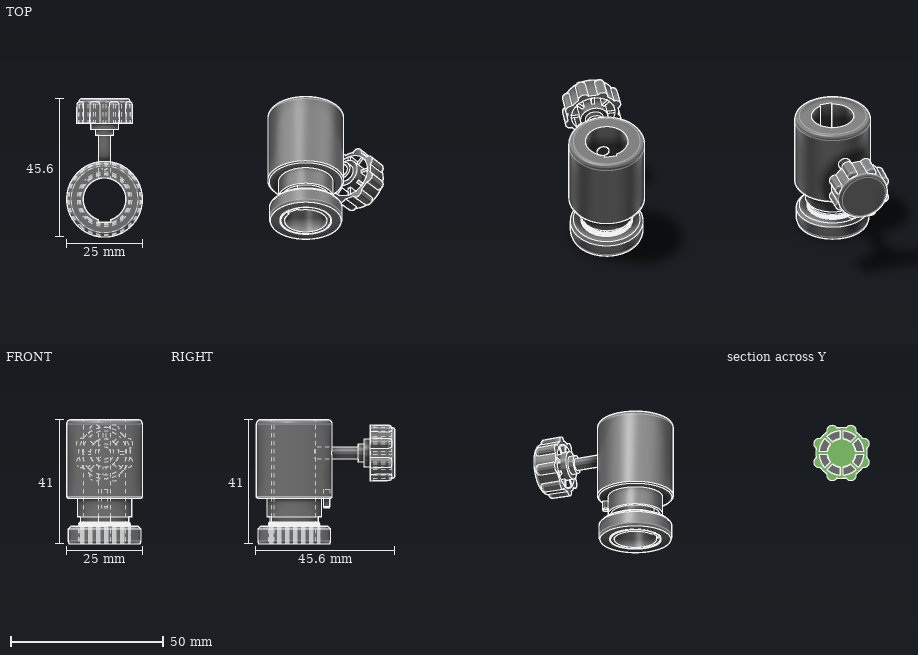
import cadquery as cq
import math

overall_length = 45.6
total_height = 41.0
barrel_bottom = 15.0
spigot_bottom = 9.0
thread_top = 7.4

barrel_radius = 12.5
barrel_top_fillet = 1.5
barrel_bottom_chamfer = 0.5
spigot_radius = 9.0
neck_radius = 8.0
bore_radius = 6.98
keyway_width = 4.0
keyway_depth = 7.5

thread_radius = 8.5
thread_pitch = 0.5
thread_depth = 0.3
crest_width = thread_pitch / 8
flank_angle = 30.0
flank_slope = math.tan(math.radians(flank_angle))
thread_start = -0.95
thread_turns = 17
ridge_root_overlap = 0.025
blank_allowance = 0.45

nut_bore_clearance = 0.025
nut_height = 5.97
nut_radius = 12.0
nut_top_chamfer = 1.0
nut_bottom_bevel_height = 1.0
nut_bottom_bevel_width = 0.3

pin_radius = 1.05
pin_offset = 10.65
pin_projection = 3.0
pin_insertion = 3.0
pin_bevel_height = 0.4
pin_bevel_width = 0.2

screw_axis_height = 30.0
shank_radius = 2.0
collar_radius = 3.0
collar_front = 20.98
hub_front = 22.9
knob_front = 24.95
knob_back = overall_length - barrel_radius
knob_thickness = knob_back - knob_front
draft_angle = 1.0

knob_back_radius = 8.4
knob_edge_fillet = 0.95
lobe_count = 8
lobe_circle_radius = 8.0
lobe_radius = 1.75
lobe_setback = 1.0
lobe_fillet = 1.0
pocket_radius = 7.3
pocket_depth = 6.98
hub_radius = 4.6
rib_width = 1.0
rib_setback = 0.1


def cylinder(radius, bottom, top):
    return cq.Workplane("XY", origin=(0, 0, bottom)).circle(radius).extrude(top - bottom)


def screw_plane(y):
    """Plane across the screw axis, facing +Y."""
    return cq.Workplane("ZX", origin=(0, y, screw_axis_height))


def knob_plane(y):
    """Plane across the screw axis, facing -Y."""
    return cq.Workplane("XZ", origin=(0, y, screw_axis_height))


def pin_plane(z):
    return cq.Workplane("XY", origin=(0, pin_offset, z))


def make_thread():
    """Right-hand thread, trimmed flat at the bottom and chamfered down to the neck at the top."""
    core_radius = thread_radius - thread_depth
    ridge_inner_radius = core_radius - ridge_root_overlap
    ridge_inner_width = crest_width + 2 * (thread_depth + ridge_root_overlap) * flank_slope
    path = cq.Wire.makeHelix(
        thread_pitch, thread_turns * thread_pitch, thread_radius, center=cq.Vector(0, 0, thread_start)
    )
    ridge = (
        cq.Workplane("XZ")
        .moveTo(ridge_inner_radius, thread_start - ridge_inner_width / 2)
        .lineTo(ridge_inner_radius, thread_start + ridge_inner_width / 2)
        .lineTo(thread_radius, thread_start + crest_width / 2)
        .lineTo(thread_radius, thread_start - crest_width / 2)
        .close()
        .sweep(cq.Workplane(obj=path), isFrenet=True)
    )
    blank_radius = thread_radius + blank_allowance
    blank = cylinder(blank_radius, 0, thread_top).faces(">Z").chamfer(blank_radius - neck_radius)
    core = cylinder(core_radius, 0, thread_top).intersect(blank)
    return core.union(ridge.intersect(blank))


def make_housing():
    barrel = cylinder(barrel_radius, barrel_bottom, total_height)
    barrel = barrel.faces(">Z").edges().fillet(barrel_top_fillet)
    barrel = barrel.faces("<Z").edges().chamfer(barrel_bottom_chamfer)
    spigot = cylinder(spigot_radius, spigot_bottom, barrel_bottom)
    neck = cylinder(neck_radius, thread_top, spigot_bottom)
    upper_body = barrel.union(spigot).union(neck)

    bore = cylinder(bore_radius, 0, total_height)
    keyway = (
        cq.Workplane("XY")
        .center(0, -keyway_depth / 2)
        .rect(keyway_width, keyway_depth)
        .extrude(total_height)
    )
    passage = bore.union(keyway)
    screw_hole = screw_plane(0).circle(shank_radius).extrude(barrel_radius)
    pin_hole = pin_plane(barrel_bottom).circle(pin_radius).extrude(pin_insertion)
    upper_body = upper_body.cut(passage).cut(screw_hole).cut(pin_hole)
    return upper_body.union(make_thread().cut(passage))


def make_nut():
    """Ring nut whose plain bore clears the thread crests."""
    nut_bore_radius = thread_radius + nut_bore_clearance
    return (
        cq.Workplane("XZ")
        .moveTo(nut_bore_radius, 0)
        .lineTo(nut_radius - nut_bottom_bevel_width, 0)
        .lineTo(nut_radius, nut_bottom_bevel_height)
        .lineTo(nut_radius, nut_height - nut_top_chamfer)
        .lineTo(nut_radius - nut_top_chamfer, nut_height)
        .lineTo(nut_bore_radius, nut_height)
        .close()
        .revolve(360, (0, 0, 0), (0, 1, 0))
    )


def make_pin():
    """Straight pin with a slim bevel at its lower end."""
    pin_bottom = barrel_bottom - pin_projection
    straight_bottom = pin_bottom + pin_bevel_height
    straight_length = barrel_bottom + pin_insertion - straight_bottom
    straight = pin_plane(straight_bottom).circle(pin_radius).extrude(straight_length)
    bevel_angle = math.degrees(math.atan(pin_bevel_width / pin_bevel_height))
    return straight.faces("<Z").workplane().circle(pin_radius).extrude(pin_bevel_height, taper=bevel_angle)


def make_screw():
    """Shank reaching the bore wall, with a collar against the knob's hub."""
    shank = screw_plane(bore_radius).circle(shank_radius).extrude(collar_front - bore_radius)
    collar = screw_plane(collar_front).circle(collar_radius).extrude(hub_front - collar_front)
    return shank.union(collar)


def around_screw_axis(shape, angle):
    axis_start = (0, 0, screw_axis_height)
    axis_end = (0, 1, screw_axis_height)
    return shape.rotate(axis_start, axis_end, angle)


def make_lobe():
    lobe = (
        knob_plane(knob_back - lobe_setback)
        .center(lobe_circle_radius, 0)
        .circle(lobe_radius)
        .extrude(knob_thickness - lobe_setback, taper=-draft_angle)
    )
    return lobe.faces(">Y").edges().fillet(lobe_fillet)


def make_rib():
    """Radial web from inside the hub wall to the pocket wall."""
    length = pocket_radius - collar_radius
    return (
        knob_plane(knob_front + pocket_depth)
        .center(collar_radius + length / 2, 0)
        .rect(length, rib_width)
        .extrude(pocket_depth - rib_setback)
    )


def make_knob():
    knob = knob_plane(knob_back).circle(knob_back_radius).extrude(knob_thickness, taper=-draft_angle)
    knob = knob.faces(">Y").edges().fillet(knob_edge_fillet)
    lobe_step = 360 / lobe_count
    lobe = make_lobe()
    for i in range(lobe_count):
        knob = knob.union(around_screw_axis(lobe, (i + 0.5) * lobe_step))

    pocket = screw_plane(knob_front).circle(pocket_radius).extrude(pocket_depth)
    hub_length = knob_front + pocket_depth - hub_front
    hub = screw_plane(hub_front).circle(hub_radius).extrude(hub_length, taper=-draft_angle)
    knob = knob.cut(pocket).union(hub)

    rib = make_rib()
    for i in range(lobe_count):
        knob = knob.union(around_screw_axis(rib, i * lobe_step))
    return knob


housing = make_housing()
nut = make_nut()
pin = make_pin()
screw = make_screw()
knob = make_knob()

result = cq.Compound.makeCompound([housing.val(), nut.val(), pin.val(), screw.val(), knob.val()])